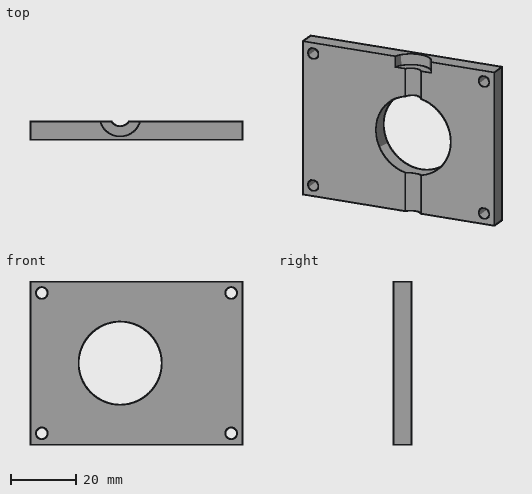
import cadquery as cq

plate_width = 65.0
plate_thickness = 5.65
plate_height = 50.0
back_y = plate_thickness / 2
top_z = plate_height / 2

screw_hole_diameter = 3.5
screw_edge_distance = 3.5

window_diameter = 25.4
window_x = -5.0

groove_axis_offset = 1.75
groove_diameter = 6.35
recess_diameter = 12.7
recess_length = 3.5


def make_plate():
    return cq.Workplane("XY").box(plate_width, plate_thickness, plate_height)


def y_holes(diameter, centres):
    """Cylinders along Y from the back face to the front face, at (x, z) centres."""
    return (
        cq.Workplane("XZ", origin=(0, back_y, 0))
        .pushPoints(centres)
        .circle(diameter / 2)
        .extrude(plate_thickness)
    )


def groove_cutter(diameter, length):
    """Vertical cylinder reaching down from the top edge of the plate."""
    return (
        cq.Workplane("XY")
        .workplane(offset=top_z - length)
        .center(window_x, back_y + groove_axis_offset)
        .circle(diameter / 2)
        .extrude(length)
    )


screw_x = plate_width / 2 - screw_edge_distance
screw_z = plate_height / 2 - screw_edge_distance
screw_centres = [(x, z) for x in (-screw_x, screw_x) for z in (-screw_z, screw_z)]

result = (
    make_plate()
    .cut(y_holes(screw_hole_diameter, screw_centres))
    .cut(y_holes(window_diameter, [(window_x, 0)]))
    .cut(groove_cutter(groove_diameter, plate_height))
    .cut(groove_cutter(recess_diameter, recess_length))
)